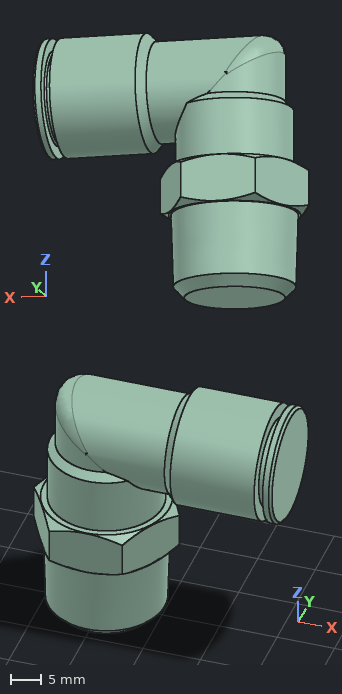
import cadquery as cq
import math


hex_across_flats = 22.0
hex_bottom = 13.95
hex_top = 21.95
hex_face_diameter = 21.85
hex_chamfer_angle = 30
thread_top_diameter = 21.05
thread_taper = 1 / 16
thread_tip_chamfer = 1.8

socket_axis_height = 35.5
pipe_diameter = 17.0
corner_radius = 3.1
rounded_width_ratio = 0.995
sleeve_diameter = 19.6
sleeve_top = 31.65
socket_diameter = 20.0
socket_cone_start = 12.88
socket_end = 29.0

collar_neck_diameter = 15.2
collar_flange_start = 30.45
collar_end = 31.95
collar_rim_chamfer = 0.45
collar_root_chamfer = 0.3

hex_corner_radius = hex_across_flats / 2 / math.cos(math.radians(30))
pipe_radius = pipe_diameter / 2
sleeve_radius = sleeve_diameter / 2
socket_radius = socket_diameter / 2


def cylinder_along_x(diameter, start, end):
    """Solid cylinder on the socket axis between two X positions."""
    plane = cq.Workplane("YZ", origin=(start, 0, socket_axis_height))
    return plane.circle(diameter / 2).extrude(end - start)


def cylinder_along_z(diameter, start, end):
    """Solid cylinder on the stud axis between two Z positions."""
    return cq.Workplane("XY", origin=(0, 0, start)).circle(diameter / 2).extrude(end - start)


def make_hexagon():
    """Hexagon with corners on the X axis, chamfered conically at both faces."""
    prism = (
        cq.Workplane("XY", origin=(0, 0, hex_bottom))
        .polygon(6, 2 * hex_corner_radius)
        .extrude(hex_top - hex_bottom)
    )
    face_radius = hex_face_diameter / 2
    chamfer_height = (hex_corner_radius - face_radius) * math.tan(math.radians(hex_chamfer_angle))
    envelope = (
        cq.Workplane("XZ")
        .moveTo(0, hex_bottom)
        .lineTo(face_radius, hex_bottom)
        .lineTo(hex_corner_radius, hex_bottom + chamfer_height)
        .lineTo(hex_corner_radius, hex_top - chamfer_height)
        .lineTo(face_radius, hex_top)
        .lineTo(0, hex_top)
        .close()
        .revolve(360, (0, 0, 0), (0, 1, 0))
    )
    return prism.intersect(envelope)


def make_stud():
    """Tapered thread blank with a chamfered tip, joined to the hexagon."""
    top_radius = thread_top_diameter / 2
    tapered_length = hex_bottom - thread_tip_chamfer
    lower_radius = top_radius - tapered_length * thread_taper / 2
    thread = (
        cq.Workplane("XZ")
        .lineTo(lower_radius - thread_tip_chamfer, 0)
        .lineTo(lower_radius, thread_tip_chamfer)
        .lineTo(top_radius, hex_bottom)
        .lineTo(0, hex_bottom)
        .close()
        .revolve(360, (0, 0, 0), (0, 1, 0))
    )
    return thread.union(make_hexagon())


def make_pipe_corner():
    """Mitred corner of the two equal pipes, with the outer mitre edge rounded."""
    upright = cylinder_along_z(pipe_diameter, hex_top, socket_axis_height + pipe_radius)
    level = cylinder_along_x(pipe_diameter, -pipe_radius, socket_cone_start)
    overlap = upright.intersect(level)
    lower_leg = cylinder_along_z(pipe_diameter, hex_top, socket_axis_height)
    side_leg = cylinder_along_x(pipe_diameter, 0, socket_cone_start)
    corner = overlap.union(lower_leg).union(side_leg).clean()

    slab_size = 2 * (socket_axis_height + pipe_diameter)
    slab = cq.Workplane("XY").box(slab_size, rounded_width_ratio * pipe_diameter, slab_size)
    side_slices = corner.cut(slab)
    rounded = corner.intersect(slab).edges(">(-1, 0, 1)").fillet(corner_radius)
    return rounded.union(side_slices)


def make_sleeve():
    """Wider foot of the elbow on the hexagon, with a 45 degree shoulder."""
    shoulder = sleeve_radius - pipe_radius
    sleeve = cylinder_along_z(sleeve_diameter, hex_top, sleeve_top + shoulder)
    return sleeve.faces(">Z").chamfer(shoulder)


def make_socket():
    """Wider tube socket with a 45 degree shoulder towards the corner."""
    socket = cylinder_along_x(socket_diameter, socket_cone_start, socket_end)
    return socket.faces("<X").chamfer(socket_radius - pipe_radius)


def make_elbow():
    """Elbow body: pipe corner with the sleeve at its foot and the socket at its side."""
    return make_pipe_corner().union(make_sleeve()).union(make_socket())


def make_collar():
    """Release collar: a neck against the socket end, a conical root and a chamfered flange."""
    neck = cylinder_along_x(collar_neck_diameter, socket_end, collar_flange_start)
    flange = cylinder_along_x(socket_diameter, collar_flange_start, collar_end)
    flange = flange.faces(">X").chamfer(collar_rim_chamfer)
    neck_radius = collar_neck_diameter / 2
    root = cq.Workplane(
        cq.Solid.makeCone(
            neck_radius,
            neck_radius + collar_root_chamfer,
            collar_root_chamfer,
            pnt=cq.Vector(collar_flange_start - collar_root_chamfer, 0, socket_axis_height),
            dir=cq.Vector(1, 0, 0),
        )
    )
    return neck.union(root).union(flange)


stud = make_stud()
elbow = make_elbow()
collar = make_collar()

result = cq.Compound.makeCompound([stud.val(), elbow.val(), collar.val()])